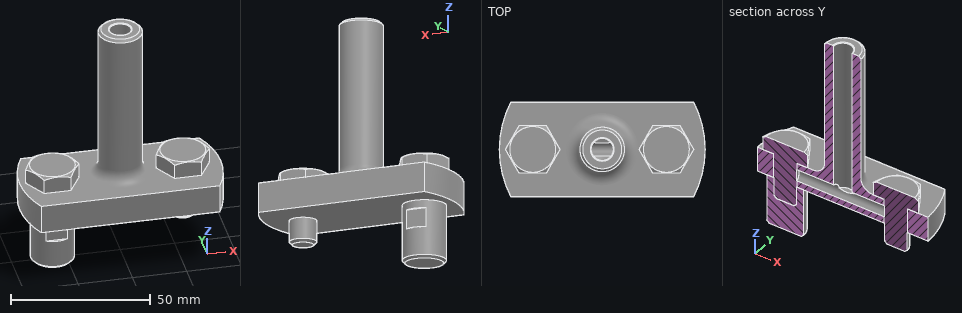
import cadquery as cq
import math

OVERALL_HEIGHT = 92.5

PLATE_DIAMETER = 74.0
PLATE_WIDTH = 34.0
PLATE_THICKNESS = 11.0

TUBE_DIAMETER = 16.0
TUBE_BORE_DIAMETER = 8.0
BORE_MOUTH_CHAMFER = 0.3
TUBE_ROOT_RADIUS = 5.0
DRILL_POINT_ANGLE = 140.0
CHANNEL_DIAMETER = 4.8

LEFT_BOLT_X = -25.0
RIGHT_BOLT_X = 23.0
BOLT_DIAMETER = 10.0
BOLT_REACH_BELOW_PLATE = 9.0
BOLT_TIP_CHAMFER = 1.1
HEAD_SIDES = 6
HEAD_ACROSS_FLATS = 17.0
HEAD_HEIGHT = 6.4
HEAD_TOP_DIAMETER = 16.5
HEAD_CHAMFER_ANGLE = 30.0

SLEEVE_DIAMETER = 16.0
SLEEVE_LENGTH = 21.5
SLEEVE_ACROSS_FLATS = 14.0
FLAT_HEIGHT = 7.0
FLAT_GAP_TO_PLATE = 3.0

END_CHAMFER = 1.0

PLATE_BOTTOM_Z = SLEEVE_LENGTH
PLATE_TOP_Z = PLATE_BOTTOM_Z + PLATE_THICKNESS
CHANNEL_Z = PLATE_BOTTOM_Z + PLATE_THICKNESS / 2
BOLT_TIP_Z = PLATE_BOTTOM_Z - BOLT_REACH_BELOW_PLATE
HEAD_ACROSS_CORNERS = HEAD_ACROSS_FLATS / math.cos(math.pi / HEAD_SIDES)


def cylinder(diameter, bottom_z, top_z, x=0.0):
    """Upright round bar between two levels."""
    return cq.Workplane("XY", origin=(x, 0, bottom_z)).circle(diameter / 2).extrude(top_z - bottom_z)


def make_plate_blank():
    """Disc trimmed to two sides parallel to X."""
    disc = cylinder(PLATE_DIAMETER, PLATE_BOTTOM_Z, PLATE_TOP_Z)
    trim = (
        cq.Workplane("XY", origin=(0, 0, PLATE_BOTTOM_Z))
        .rect(PLATE_DIAMETER, PLATE_WIDTH)
        .extrude(PLATE_THICKNESS)
    )
    return disc.intersect(trim)


def make_tube_blank():
    """Solid tube shape with a flared root and a chamfered top, turned about Z."""
    radius = TUBE_DIAMETER / 2
    root_center_x = radius + TUBE_ROOT_RADIUS
    root_center_z = PLATE_TOP_Z + TUBE_ROOT_RADIUS
    arc_offset = TUBE_ROOT_RADIUS * math.sqrt(0.5)
    return (
        cq.Workplane("XZ")
        .moveTo(0, PLATE_TOP_Z)
        .lineTo(root_center_x, PLATE_TOP_Z)
        .threePointArc(
            (root_center_x - arc_offset, root_center_z - arc_offset),
            (radius, root_center_z),
        )
        .lineTo(radius, OVERALL_HEIGHT - END_CHAMFER)
        .lineTo(radius - END_CHAMFER, OVERALL_HEIGHT)
        .lineTo(0, OVERALL_HEIGHT)
        .close()
        .revolve(360, (0, 0, 0), (0, 1, 0))
    )


def make_tube_bore():
    """Chamfered bore whose conical tip starts at the level of the cross channel axis."""
    radius = TUBE_BORE_DIAMETER / 2
    tip_depth = radius / math.tan(math.radians(DRILL_POINT_ANGLE / 2))
    return (
        cq.Workplane("XZ")
        .moveTo(0, CHANNEL_Z - tip_depth)
        .lineTo(radius, CHANNEL_Z)
        .lineTo(radius, OVERALL_HEIGHT - BORE_MOUTH_CHAMFER)
        .lineTo(radius + BORE_MOUTH_CHAMFER, OVERALL_HEIGHT)
        .lineTo(0, OVERALL_HEIGHT)
        .close()
        .revolve(360, (0, 0, 0), (0, 1, 0))
    )


def make_cross_channel():
    """Round channel along X that joins the bore to both bolt holes."""
    return (
        cq.Workplane("YZ", origin=(LEFT_BOLT_X, 0, CHANNEL_Z))
        .circle(CHANNEL_DIAMETER / 2)
        .extrude(RIGHT_BOLT_X - LEFT_BOLT_X)
    )


def make_flange():
    """Plate and tube in one piece, with the bore, cross channel and bolt holes."""
    flange = make_plate_blank().union(make_tube_blank())
    flange = flange.cut(make_tube_bore()).cut(make_cross_channel())
    for bolt_x in (LEFT_BOLT_X, RIGHT_BOLT_X):
        flange = flange.cut(cylinder(BOLT_DIAMETER, PLATE_BOTTOM_Z, PLATE_TOP_Z, bolt_x))
    return flange


def make_bolt_head(x):
    """Hexagon head with corners on X, its top corners cut back by a cone."""
    hexagon = (
        cq.Workplane("XY", origin=(x, 0, PLATE_TOP_Z))
        .polygon(HEAD_SIDES, HEAD_ACROSS_CORNERS)
        .extrude(HEAD_HEIGHT)
    )
    corner_radius = HEAD_ACROSS_CORNERS / 2
    top_radius = HEAD_TOP_DIAMETER / 2
    corner_drop = (corner_radius - top_radius) * math.tan(math.radians(HEAD_CHAMFER_ANGLE))
    cone_envelope = (
        cylinder(HEAD_ACROSS_CORNERS, PLATE_TOP_Z, PLATE_TOP_Z + HEAD_HEIGHT, x)
        .faces(">Z")
        .edges()
        .chamfer(corner_drop, corner_radius - top_radius)
    )
    return hexagon.intersect(cone_envelope)


def make_bolt(x):
    """Hexagon head bolt seated on the plate, with a chamfered tip."""
    shank = cylinder(BOLT_DIAMETER, BOLT_TIP_Z, PLATE_TOP_Z, x)
    shank = shank.faces("<Z").edges().chamfer(BOLT_TIP_CHAMFER)
    return make_bolt_head(x).union(shank)


def make_sleeve_nut(bolt):
    """Round nut under the plate with two spanner flats and a blind hole filled by its bolt."""
    sleeve = cylinder(SLEEVE_DIAMETER, 0, SLEEVE_LENGTH, LEFT_BOLT_X)
    sleeve = sleeve.faces("<Z").edges().chamfer(END_CHAMFER)
    flat_center_z = SLEEVE_LENGTH - FLAT_GAP_TO_PLATE - FLAT_HEIGHT / 2
    for side in (-1, 1):
        flat_y = side * (SLEEVE_ACROSS_FLATS + SLEEVE_DIAMETER) / 2
        flat_cutter = cq.Workplane("XY", origin=(LEFT_BOLT_X, flat_y, flat_center_z)).box(
            SLEEVE_DIAMETER, SLEEVE_DIAMETER, FLAT_HEIGHT
        )
        sleeve = sleeve.cut(flat_cutter)
    return sleeve.cut(bolt)


flange = make_flange()
bolts = [make_bolt(x) for x in (LEFT_BOLT_X, RIGHT_BOLT_X)]
sleeve_nut = make_sleeve_nut(bolts[0])

result = cq.Compound.makeCompound([flange.val(), *[bolt.val() for bolt in bolts], sleeve_nut.val()])